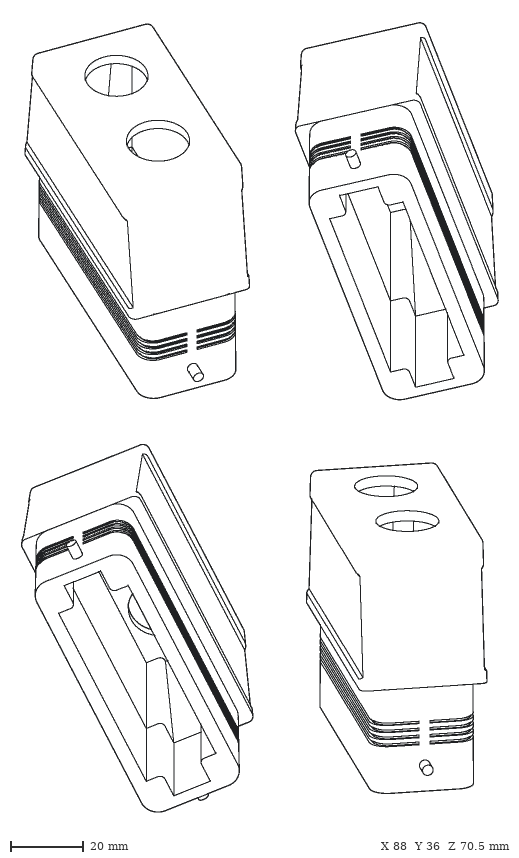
import cadquery as cq
import math

total_height = 70.5
peg_span = 88.0

base_height = 30.1
base_length = 79.55
base_width = 29.2
base_corner_radius = 5.0
foot_height = 2.0

groove_count = 4
groove_pitch = 2.0
lowest_groove_z = 14.0
groove_opening = 1.1
groove_floor_height = 0.5
groove_depth = 0.8
groove_floor_length = 78.1
groove_bridge = 3.1

peg_diameter = 3.0
peg_z = 7.6

hood_width = 36.0
hood_bottom_length = 78.1
hood_top_length = 66.2
hood_edge_radius = 1.9

grip_depth = 0.9
grip_bottom = 33.0
grip_top = 62.7

cable_hole_diameter = 17.4
cable_hole_spacing = 29.9
roof_thickness = 3.0

chamber_length = 58.3
chamber_width = 21.1
bay_width = 11.1
boss_edge_radius = 1.5
end_wall = 2.6

ceiling_z = total_height - roof_thickness
hood_taper = (hood_bottom_length - hood_top_length) / (total_height - base_height)
cavity_bottom_length = hood_bottom_length - 2 * end_wall
cavity_top_length = cavity_bottom_length - hood_taper * (ceiling_z - base_height)


def end_to_end_prism(right_side, width):
    """Prism along Y, centred on it, whose XZ outline mirrors the (x, z) points of its right side."""
    left_side = [(-x, z) for x, z in reversed(right_side)]
    return cq.Workplane("XZ").polyline(right_side + left_side).close().extrude(width / 2, both=True)


def cavity():
    """Space inside both bodies: the middle chamber and the end bays, which follow the hood's taper."""
    chamber = cq.Workplane("XY").rect(chamber_length, chamber_width).extrude(ceiling_z)
    bays = end_to_end_prism(
        [
            (cavity_bottom_length / 2, 0),
            (cavity_bottom_length / 2, base_height),
            (cavity_top_length / 2, ceiling_z),
        ],
        bay_width,
    )
    boss_edges = cq.selectors.BoxSelector(
        (-chamber_length / 2 - 0.9, -bay_width / 2 - 0.9, 0),
        (chamber_length / 2 + 0.9, bay_width / 2 + 0.9, ceiling_z),
    )
    return chamber.union(bays).edges("|Z").edges(boss_edges).fillet(boss_edge_radius)


def groove_core(height, flare_angle=0):
    """Rounded block left inside a groove; a negative angle flares it outwards along its height."""
    outline = cq.Sketch().rect(groove_floor_length, base_width - 2 * groove_depth)
    outline = outline.vertices().fillet(base_corner_radius - groove_depth)
    return cq.Workplane("XY").placeSketch(outline).extrude(height, taper=flare_angle)


def groove(z):
    """Groove with sloping flanks around the base, centred on height z, bridged on each end."""
    ring = cq.Workplane("XY").rect(base_length, base_width).extrude(groove_opening / 2, both=True)
    bridge = cq.Workplane("XY").rect(base_length, groove_bridge).extrude(groove_opening / 2, both=True)
    flank_height = (groove_opening - groove_floor_height) / 2
    flank_angle = math.degrees(math.atan2(groove_depth, flank_height))
    upper_flank = groove_core(flank_height, -flank_angle).translate((0, 0, groove_floor_height / 2))
    floor = groove_core(groove_floor_height).translate((0, 0, -groove_floor_height / 2))
    lower_flank = upper_flank.mirror("XY")
    return ring.cut(floor).cut(upper_flank).cut(lower_flank).cut(bridge).translate((0, 0, z))


def peg(side):
    """Round peg on one end of the base, reaching from the cavity wall to its tip."""
    root = cavity_bottom_length / 2
    length = peg_span / 2 - root
    return (
        cq.Workplane("YZ", origin=(side * root, 0, peg_z))
        .circle(peg_diameter / 2)
        .extrude(side * length)
    )


def make_base():
    body = end_to_end_prism(
        [
            (base_length / 2, 0),
            (base_length / 2, foot_height),
            (hood_bottom_length / 2, base_height),
        ],
        base_width,
    )
    body = body.edges("not (|X or |Y)").fillet(base_corner_radius)
    for i in range(groove_count):
        body = body.cut(groove(lowest_groove_z + i * groove_pitch))
    body = body.cut(cavity())
    for side in (-1, 1):
        body = body.union(peg(side))
    return body.solids()


def grip_recess(side):
    """Shallow recess with 45 degree ledges across one long side of the hood."""
    outer_y = side * hood_width / 2
    inner_y = side * (hood_width / 2 - grip_depth)
    return (
        cq.Workplane("YZ")
        .polyline(
            [
                (outer_y, grip_bottom),
                (outer_y, grip_top),
                (inner_y, grip_top - grip_depth),
                (inner_y, grip_bottom + grip_depth),
            ]
        )
        .close()
        .extrude(hood_bottom_length / 2, both=True)
    )


def make_hood():
    body = end_to_end_prism(
        [
            (hood_bottom_length / 2, base_height),
            (hood_top_length / 2, total_height),
        ],
        hood_width,
    )
    body = body.faces("not <Z").edges("not <Z").fillet(hood_edge_radius)
    for side in (-1, 1):
        body = body.cut(grip_recess(side))
    cable_holes = (
        cq.Workplane("XY", origin=(0, 0, ceiling_z))
        .pushPoints([(-cable_hole_spacing / 2, 0), (cable_hole_spacing / 2, 0)])
        .circle(cable_hole_diameter / 2)
        .extrude(roof_thickness)
    )
    return body.cut(cavity()).cut(cable_holes).solids()


base = make_base()
hood = make_hood()

result = cq.Compound.makeCompound([base.val(), hood.val()])